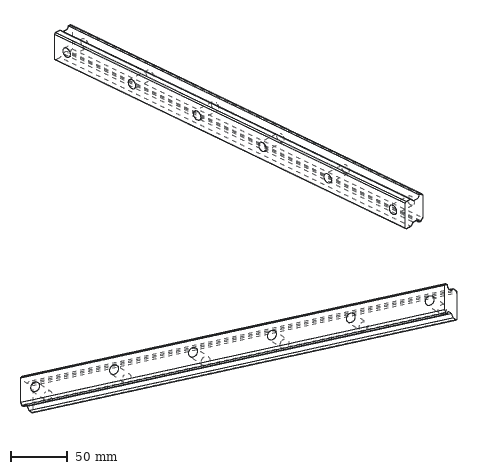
import cadquery as cq
import math

length = 430.0
width = 23.0
height = 28.0

cove_radius = 2.0
base_chamfer = 1.5

groove_depth = 3.0
groove_start = 5.0
groove_floor_end = 12.5
base_land_start = 15.5

hole_count = 6
hole_pitch = 80.0
hole_diameter = 9.0


def make_half_rail():
    """Upper half of the rail, above its middle plane, extruded along X."""
    head = width / 2
    base = -width / 2
    top = height / 2
    floor = top - groove_depth
    cove_offset = cove_radius * math.sqrt(0.5)
    wall = head - groove_start
    round_center = wall - groove_depth
    round_offset = groove_depth * math.sqrt(0.5)
    return (
        cq.Workplane("YZ")
        .moveTo(base, 0)
        .lineTo(head, 0)
        .lineTo(head, top - cove_radius)
        .threePointArc((head - cove_offset, top - cove_offset), (head - cove_radius, top))
        .lineTo(wall, top)
        .threePointArc((round_center + round_offset, top - round_offset), (round_center, floor))
        .lineTo(head - groove_floor_end, floor)
        .lineTo(head - base_land_start, top)
        .lineTo(base + base_chamfer, top)
        .lineTo(base, top - base_chamfer)
        .close()
        .extrude(length / 2, both=True)
    )


def make_holes():
    """Plain round cutters along Y, evenly spaced about the middle of the rail."""
    return (
        cq.Workplane("XZ")
        .rarray(hole_pitch, 4.5, hole_count, 1)
        .circle(hole_diameter / 2)
        .extrude(width, both=True)
    )


upper_half = make_half_rail()
rail = upper_half.union(upper_half.mirror("XY")).clean()
result = rail.cut(make_holes())